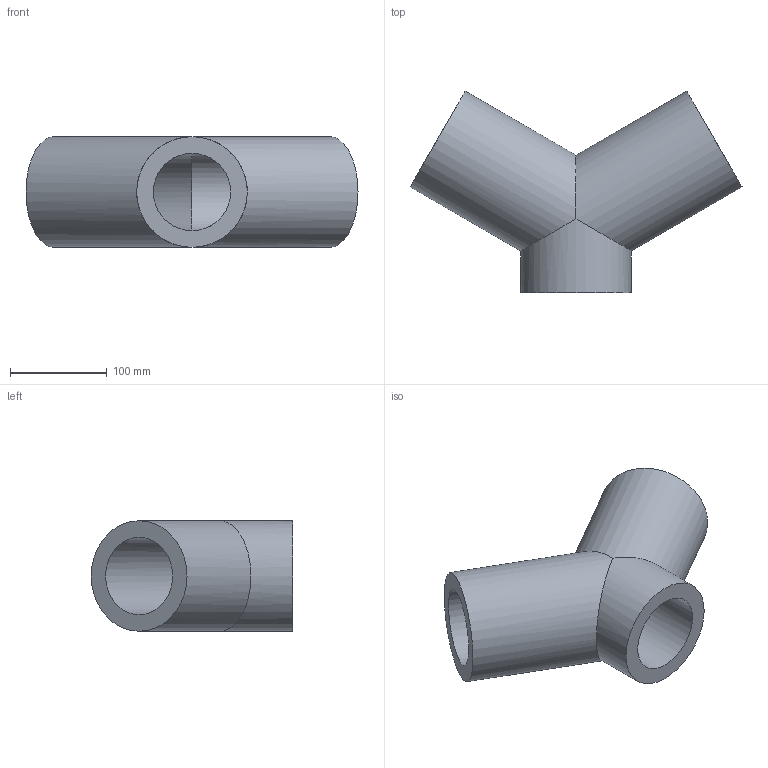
import cadquery as cq

OUTER_DIAMETER = 114.3
BORE_DIAMETER = 80.06
STEM_LENGTH = 76.2
BRANCH_LENGTH = 165.1

STEM_ANGLE = -90
BRANCH_SPACING = 120

PIPES = [
    (STEM_ANGLE, STEM_LENGTH),
    (STEM_ANGLE + BRANCH_SPACING, BRANCH_LENGTH),
    (STEM_ANGLE - BRANCH_SPACING, BRANCH_LENGTH),
]


def make_rod(diameter, length, angle):
    """Solid cylinder running outward from the junction at the given angle."""
    rod = cq.Workplane("YZ").circle(diameter / 2).extrude(length)
    return rod.rotate((0, 0, 0), (0, 0, 1), angle)


def join_rods(diameter):
    """Union of the three rods, which mitre together at the junction."""
    joined = cq.Workplane("XY")
    for angle, length in PIPES:
        joined = joined.add(make_rod(diameter, length, angle))
    return joined.combine()


result = join_rods(OUTER_DIAMETER).cut(join_rods(BORE_DIAMETER))